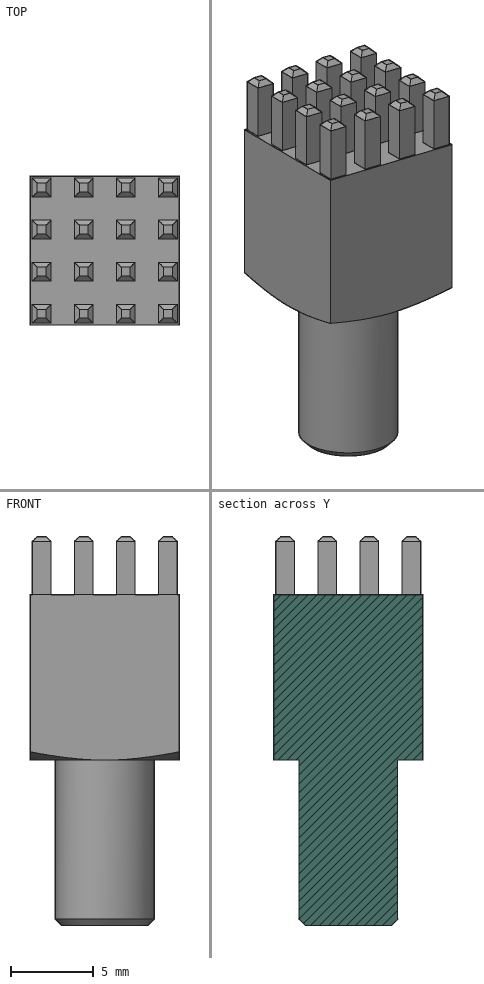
import cadquery as cq
import math

block_side = 9.0
block_height = 10.0
corner_chamfer_angle = 15.0

shank_diameter = 6.0
shank_length = 10.0
shank_end_chamfer = 0.4

pins_per_side = 4
pin_pitch = 2.54
pin_side = 1.14
pin_height = 3.5
pin_tip_chamfer = 0.3


def make_block():
    """Block whose four lower corners are cut by a cone that just touches the sides."""
    inner_radius = block_side / 2
    outer_radius = block_side
    cone_rise = (outer_radius - inner_radius) * math.tan(math.radians(corner_chamfer_angle))
    envelope = (
        cq.Workplane("XZ")
        .moveTo(0, 0)
        .lineTo(inner_radius, 0)
        .lineTo(outer_radius, cone_rise)
        .lineTo(outer_radius, block_height)
        .lineTo(0, block_height)
        .close()
        .revolve(360, (0, 0), (0, 1))
    )
    block = cq.Workplane("XY").rect(block_side, block_side).extrude(block_height)
    return block.intersect(envelope)


def make_shank():
    """Cylinder hanging below the block with a chamfered lower end."""
    shank = cq.Workplane("XY").circle(shank_diameter / 2).extrude(-shank_length)
    return shank.faces("<Z").edges().chamfer(shank_end_chamfer)


def make_pins():
    """Square grid of pins with chamfered tips."""
    return (
        cq.Workplane("XY", origin=(0, 0, block_height))
        .rarray(pin_pitch, pin_pitch, pins_per_side, pins_per_side)
        .rect(pin_side, pin_side)
        .extrude(pin_height)
        .faces(">Z")
        .edges()
        .chamfer(pin_tip_chamfer)
    )


result = make_block().union(make_shank()).union(make_pins())